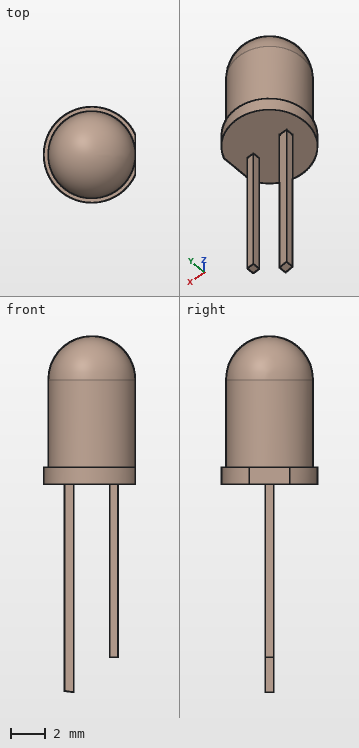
import cadquery as cq

total_height = 20.4
lens_diameter = 5.0
lens_radius = lens_diameter / 2
lens_straight_height = lens_diameter
flange_radius = 2.75
flange_height = 1.0
flange_flat_x = lens_radius
housing_height = flange_height + lens_straight_height + lens_radius

lead_thickness = 0.5
long_lead_left = -1.57
long_lead_right = -1.02
short_lead_left = 1.02
short_lead_right = 1.5
long_lead_length = total_height - housing_height
short_lead_length = 9.9
long_lead_end_slant = 0.08
crossbar_bottom = flange_height
crossbar_height = 0.49
crossbar_top = crossbar_bottom + crossbar_height


def make_lead_frame():
    """U-shaped flat frame; the end of the long lead is cut at a slight slant."""
    outline = [
        (long_lead_left, crossbar_top),
        (long_lead_left, long_lead_end_slant - long_lead_length),
        (long_lead_right, -long_lead_length),
        (long_lead_right, crossbar_bottom),
        (short_lead_left, crossbar_bottom),
        (short_lead_left, -short_lead_length),
        (short_lead_right, -short_lead_length),
        (short_lead_right, crossbar_top),
    ]
    return cq.Workplane("XZ").polyline(outline).close().extrude(lead_thickness / 2, both=True)


def make_flange():
    """Round flange with one flat on the +X side."""
    disc = cq.Workplane("XY").circle(flange_radius).extrude(flange_height)
    flat_cutter = (
        cq.Workplane("XY")
        .center(flange_flat_x + flange_radius, 0)
        .rect(2 * flange_radius, 2 * flange_radius)
        .extrude(flange_height)
    )
    return disc.cut(flat_cutter)


def make_lens():
    """Cylinder with a hemispherical dome, standing on the flange."""
    dome_start = flange_height + lens_straight_height
    dome_rise = lens_radius * 0.5 ** 0.5
    return (
        cq.Workplane("XZ")
        .moveTo(0, flange_height)
        .lineTo(lens_radius, flange_height)
        .lineTo(lens_radius, dome_start)
        .threePointArc((dome_rise, dome_start + dome_rise), (0, housing_height))
        .close()
        .revolve(360, (0, 0, 0), (0, 1, 0))
    )


def make_housing(embedded_frame):
    """Flange and lens in one piece, with a matching recess for the lead frame."""
    return make_flange().union(make_lens()).cut(embedded_frame)


lead_frame = make_lead_frame()
housing = make_housing(lead_frame)

result = cq.Compound.makeCompound([housing.solids().val(), lead_frame.solids().val()])